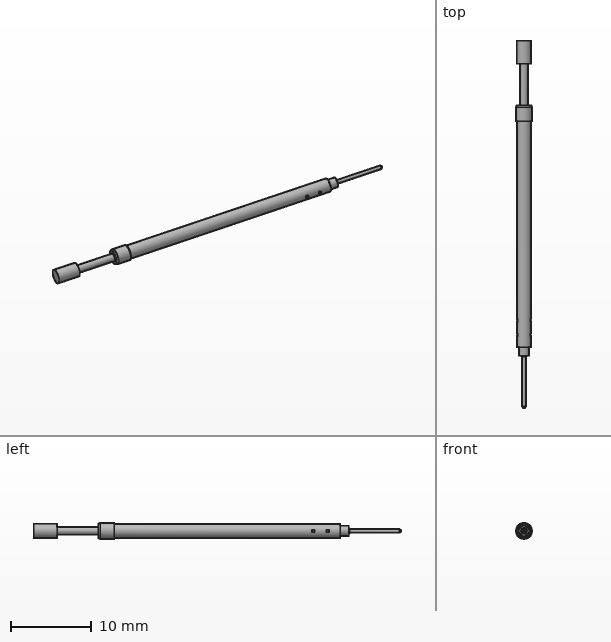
import cadquery as cq

head_diameter = 1.8
plunger_diameter = 1.0
collar_diameter = 2.0
barrel_diameter = 1.75
plug_diameter = 1.3
cone_diameter = 0.75
wire_diameter = 0.5
wire_tip_diameter = 0.1

overall_length = 45.6
head_length = 2.9
plunger_length = 5.1
collar_length = 2.0
barrel_length = 28.0
plug_length = 1.1
cone_length = 0.1
wire_tip_length = 0.25

collar_chamfer_length = 0.25
collar_chamfer_depth = 0.1

dimple_rows = 2
dimple_diameter = 0.36
dimple_depth = 0.1
dimple_spacing = 1.8
dimple_end_distance = 1.53

shoulder_y = 0.0
collar_top_y = shoulder_y + collar_length
head_bottom_y = collar_top_y + plunger_length
head_top_y = head_bottom_y + head_length
barrel_end_y = shoulder_y - barrel_length
plug_end_y = barrel_end_y - plug_length
wire_end_y = head_top_y - overall_length


def cylinder(diameter, start_y, end_y):
    """Cylinder on the Y axis between two stations."""
    return (
        cq.Workplane("XZ", origin=(0, start_y, 0))
        .circle(diameter / 2)
        .extrude(start_y - end_y)
    )


def cone(start_diameter, end_diameter, start_y, end_y):
    """Truncated cone on the Y axis, narrowing from start_y down to end_y."""
    profile = [
        (0, start_y),
        (start_diameter / 2, start_y),
        (end_diameter / 2, end_y),
        (0, end_y),
    ]
    return cq.Workplane("XY").polyline(profile).close().revolve(360, (0, 0, 0), (0, 1, 0))


def collar():
    """Collar with a slender lead-in chamfer on the side facing the head."""
    radius = collar_diameter / 2
    profile = [
        (0, shoulder_y),
        (radius, shoulder_y),
        (radius, collar_top_y - collar_chamfer_length),
        (radius - collar_chamfer_depth, collar_top_y),
        (0, collar_top_y),
    ]
    return cq.Workplane("XY").polyline(profile).close().revolve(360, (0, 0, 0), (0, 1, 0))


def wire():
    """Tail wire with a cone at its root and a pointed end."""
    tip_start_y = wire_end_y + wire_tip_length
    root = cone(cone_diameter, wire_diameter, plug_end_y, plug_end_y - cone_length)
    shank = cylinder(wire_diameter, plug_end_y, tip_start_y)
    tip = cone(wire_diameter, wire_tip_diameter, tip_start_y, wire_end_y)
    return root.union(shank).union(tip)


def dimple(side, y):
    """Cutter for one dimple; side is +1 or -1 for the +X or -X side."""
    floor_x = side * (barrel_diameter / 2 - dimple_depth)
    return (
        cq.Workplane("YZ", origin=(floor_x, y, 0))
        .circle(dimple_diameter / 2)
        .extrude(side * barrel_diameter)
    )


result = cylinder(head_diameter, head_top_y, head_bottom_y)
result = result.union(cylinder(plunger_diameter, head_bottom_y, collar_top_y))
result = result.union(collar())
result = result.union(cylinder(barrel_diameter, shoulder_y, barrel_end_y))
result = result.union(cylinder(plug_diameter, barrel_end_y, plug_end_y))
result = result.union(wire())

for row in range(dimple_rows):
    dimple_y = barrel_end_y + dimple_end_distance + row * dimple_spacing
    for side in (-1, 1):
        result = result.cut(dimple(side, dimple_y))